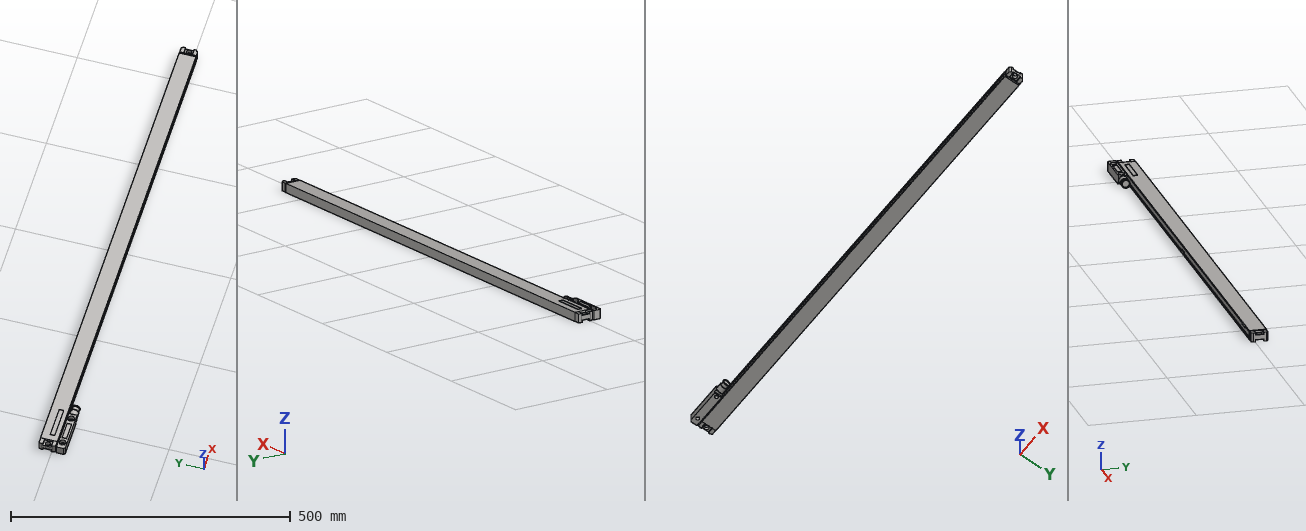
import cadquery as cq

LENGTH = 925.0
HEIGHT = 18.0
TOTAL_WIDTH = 49.0
BAR_WIDTH = 31.0
BAR_FRONT = TOTAL_WIDTH - BAR_WIDTH
BAR_MID_Y = BAR_FRONT + BAR_WIDTH / 2
MID_Z = HEIGHT / 2

END_LENGTH = 12.0
CAP_INSET = 0.3
CHANNEL_WIDTH = 16.0
TAB_THICKNESS = 9.0
MOUNT_HOLE = 9.0
MOUNT_HOLE_INSET = 6.0
LEFT_CORNER_X = 1.5
LEFT_CORNER_Y = 6.0
RIGHT_CORNER = 4.0

RIM_GAP_LENGTH = 3.0
RIM_GAP_DEPTH = 0.5

LIP = 3.0
RECESS_END = 18.5
RECESS_DEPTH = 2.0
CATCH_LENGTH = 18.5
CATCH_HEIGHT = 3.0
LOWER_CATCH_X = 441.0
UPPER_CATCH_X = 861.0

LABEL_X = 24.0
LABEL_LENGTH = 58.0
LABEL_Y = 26.0
LABEL_WIDTH = 8.0
LABEL_DEPTH = 1.0

HEAD_LENGTH = 79.0
HEAD_WIDTH = 16.0
HEAD_MID_Y = HEAD_WIDTH / 2
HEAD_CORNER = 3.0
SCREW_X = 13.0
SCREW_SPACING = 55.5
SCREW_HOLE = 6.5
SCREW_SEAT = 11.0
SCREW_SEAT_DEPTH = 8.0
WINDOW_X = 23.0
WINDOW_LENGTH = 33.0
WINDOW_WIDTH = 8.0
WINDOW_DEPTH = 1.0
NOTCH_LENGTH = 6.0
NOTCH_HEIGHT = 5.0

GLAND_DIAMETER = 16.0
GLAND_LENGTH = 12.0
NECK_DIAMETER = 13.0
NECK_LENGTH = 7.0
COLLAR_LENGTH = 2.0


def block(x, y, z, length, width, height):
    """A box with its lowest corner at x, y, z."""
    return cq.Workplane("XY").box(length, width, height, centered=False).translate((x, y, z))


def bar_outline():
    """The bar from above, with its four corners cut."""
    outline = [
        (0, BAR_FRONT + LEFT_CORNER_Y),
        (LEFT_CORNER_X, BAR_FRONT),
        (LENGTH - RIGHT_CORNER, BAR_FRONT),
        (LENGTH, BAR_FRONT + RIGHT_CORNER),
        (LENGTH, TOTAL_WIDTH - RIGHT_CORNER),
        (LENGTH - RIGHT_CORNER, TOTAL_WIDTH),
        (LEFT_CORNER_X, TOTAL_WIDTH),
        (0, TOTAL_WIDTH - LEFT_CORNER_Y),
    ]
    return cq.Workplane("XY").polyline(outline).close().extrude(HEIGHT)


def end_channels(x):
    """The cuts above and below the tab of the end cap that starts at x."""
    depth = (HEIGHT - TAB_THICKNESS) / 2
    y = BAR_MID_Y - CHANNEL_WIDTH / 2
    lower = block(x, y, 0, END_LENGTH, CHANNEL_WIDTH, depth)
    upper = block(x, y, HEIGHT - depth, END_LENGTH, CHANNEL_WIDTH, depth)
    return lower.union(upper)


def mount_hole(mid_x):
    """The screw hole through a tab."""
    return cq.Workplane("XY").center(mid_x, BAR_MID_Y).circle(MOUNT_HOLE / 2).extrude(HEIGHT)


def front_recess():
    """The long recess in the front side, less the two catches that widen its lips."""
    recess = block(
        RECESS_END, BAR_FRONT, LIP,
        LENGTH - 2 * RECESS_END, RECESS_DEPTH, HEIGHT - 2 * LIP,
    )
    lower = block(LOWER_CATCH_X, BAR_FRONT, LIP, CATCH_LENGTH, RECESS_DEPTH, CATCH_HEIGHT)
    upper = block(
        UPPER_CATCH_X, BAR_FRONT, HEIGHT - LIP - CATCH_HEIGHT,
        CATCH_LENGTH, RECESS_DEPTH, CATCH_HEIGHT,
    )
    return recess.cut(lower).cut(upper)


def sleeve(x, length, depth):
    """The skin of the given depth around a stretch of the bar."""
    outer = block(x, BAR_FRONT, 0, length, BAR_WIDTH, HEIGHT)
    core = block(x, BAR_FRONT + depth, depth, length, BAR_WIDTH - 2 * depth, HEIGHT - 2 * depth)
    return outer.cut(core)


def make_scale():
    scale = bar_outline()
    for x in (0, LENGTH - END_LENGTH):
        scale = scale.cut(end_channels(x))
        scale = scale.cut(sleeve(x, END_LENGTH, CAP_INSET))
    for x in (MOUNT_HOLE_INSET, LENGTH - MOUNT_HOLE_INSET):
        scale = scale.cut(mount_hole(x))
    scale = scale.cut(sleeve(LENGTH - END_LENGTH - RIM_GAP_LENGTH, RIM_GAP_LENGTH, RIM_GAP_DEPTH))
    scale = scale.cut(front_recess())
    label_z = HEIGHT - LABEL_DEPTH
    return scale.cut(block(LABEL_X, LABEL_Y, label_z, LABEL_LENGTH, LABEL_WIDTH, LABEL_DEPTH))


def cylinder(x, diameter, length):
    """A round along X on the axis of the head."""
    return cq.Workplane("YZ", origin=(x, HEAD_MID_Y, MID_Z)).circle(diameter / 2).extrude(length)


def screw_holes(head):
    """The head with its two counterbored screw holes."""
    top = cq.Workplane("XY", origin=(0, 0, HEIGHT)).add(head)
    spots = [(SCREW_X, HEAD_MID_Y), (SCREW_X + SCREW_SPACING, HEAD_MID_Y)]
    return top.pushPoints(spots).cboreHole(SCREW_HOLE, SCREW_SEAT, SCREW_SEAT_DEPTH)


def cable_gland():
    """The gland, the slimmer neck behind it and the thin collar on the neck's end."""
    neck_x = HEAD_LENGTH + GLAND_LENGTH
    gland = cylinder(HEAD_LENGTH, GLAND_DIAMETER, GLAND_LENGTH)
    neck = cylinder(neck_x, NECK_DIAMETER, NECK_LENGTH)
    collar = cylinder(neck_x + NECK_LENGTH, GLAND_DIAMETER, COLLAR_LENGTH)
    return gland.union(neck).union(collar)


def make_head():
    head = block(0, 0, 0, HEAD_LENGTH, HEAD_WIDTH, HEIGHT)
    head = head.edges("|Z and <X and <Y").chamfer(HEAD_CORNER)
    head = screw_holes(head)

    window_y = HEAD_MID_Y - WINDOW_WIDTH / 2
    window_z = HEIGHT - WINDOW_DEPTH
    head = head.cut(block(WINDOW_X, window_y, window_z, WINDOW_LENGTH, WINDOW_WIDTH, WINDOW_DEPTH))

    notch_x = HEAD_LENGTH - NOTCH_LENGTH
    head = head.cut(block(notch_x, 0, 0, NOTCH_LENGTH, HEAD_WIDTH, NOTCH_HEIGHT))
    return head.union(cable_gland())


scale = make_scale()
head = make_head()
result = cq.Compound.makeCompound([scale.solids().val(), head.solids().val()])